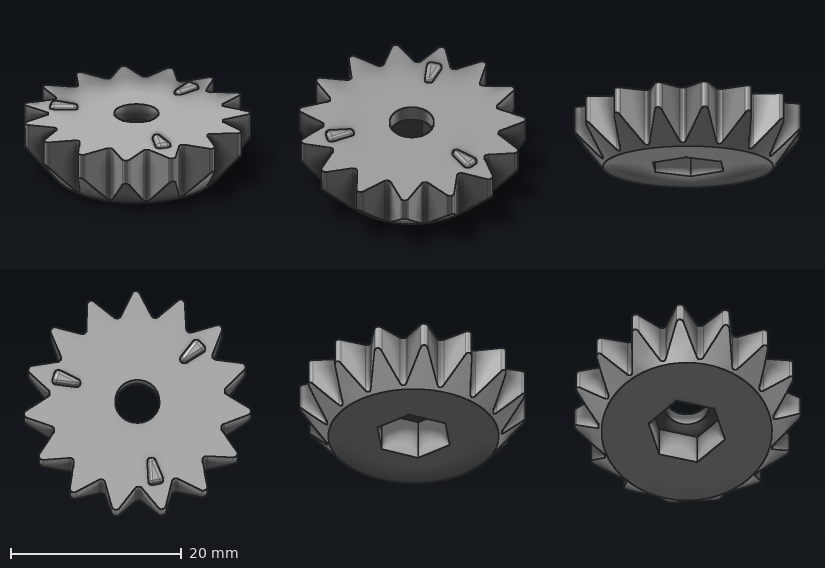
import math

import cadquery as cq

TOOTH_COUNT = 15
TOOTH_PITCH = 360 / TOOTH_COUNT
TIP_RADIUS = 14.0
ROOT_RADIUS = 10.0
TOOTH_ROUNDING = 0.5
WHEEL_HEIGHT = 7.0

CONE_BASE_RADIUS = ROOT_RADIUS
CONE_HALF_ANGLE = 40.0

BORE_DIAMETER = 5.2
HEX_SIDES = 6
HEX_ACROSS_FLATS = 8.0
HEX_DEPTH = 5.0

BUMP_COUNT = 3
BUMP_HEIGHT = 0.5
BUMP_INNER_RADIUS = 7.0
BUMP_OUTER_RADIUS = 10.3
BUMP_INNER_WIDTH = 0.86
BUMP_OUTER_WIDTH = 2.0
BUMP_SINK = 0.5

FIRST_ANGLE = 90.0


def polar(radius, angle):
    return (radius * math.cos(math.radians(angle)), radius * math.sin(math.radians(angle)))


def turn_about_axis(solid, angle):
    return solid.rotate((0, 0, 0), (0, 0, 1), angle)


def make_toothed_prism():
    """Star-shaped prism with every tip and root edge rounded."""
    outline = []
    for tooth in range(TOOTH_COUNT):
        tip_angle = FIRST_ANGLE + tooth * TOOTH_PITCH
        outline.append(polar(TIP_RADIUS, tip_angle))
        outline.append(polar(ROOT_RADIUS, tip_angle + TOOTH_PITCH / 2))
    prism = cq.Workplane("XY").polyline(outline).close().extrude(WHEEL_HEIGHT)
    return prism.edges("|Z").fillet(TOOTH_ROUNDING)


def make_cone_envelope():
    """Solid of revolution: a cone rising from the base, then a cylinder at the tip radius."""
    cone_height = (TIP_RADIUS - CONE_BASE_RADIUS) / math.tan(math.radians(CONE_HALF_ANGLE))
    profile = [
        (0, 0),
        (CONE_BASE_RADIUS, 0),
        (TIP_RADIUS, cone_height),
        (TIP_RADIUS, WHEEL_HEIGHT),
        (0, WHEEL_HEIGHT),
    ]
    return cq.Workplane("XZ").polyline(profile).close().revolve(360, (0, 0), (0, 1))


def make_bore():
    return cq.Workplane("XY").circle(BORE_DIAMETER / 2).extrude(WHEEL_HEIGHT)


def make_hex_pocket():
    """Hexagon with flats facing +X and -X and corners on the Y axis."""
    across_corners = HEX_ACROSS_FLATS / math.cos(math.pi / HEX_SIDES)
    hexagon = cq.Workplane("XY").polygon(HEX_SIDES, across_corners).extrude(HEX_DEPTH)
    return turn_about_axis(hexagon, FIRST_ANGLE)


def make_bump():
    """Wedge along +X, narrow end towards the wheel axis, with side and top edges rounded."""
    outline = [
        (BUMP_INNER_RADIUS, -BUMP_INNER_WIDTH / 2),
        (BUMP_OUTER_RADIUS, -BUMP_OUTER_WIDTH / 2),
        (BUMP_OUTER_RADIUS, BUMP_OUTER_WIDTH / 2),
        (BUMP_INNER_RADIUS, BUMP_INNER_WIDTH / 2),
    ]
    base_plane = cq.Workplane("XY", origin=(0, 0, WHEEL_HEIGHT - BUMP_SINK))
    wedge = base_plane.polyline(outline).close().extrude(BUMP_HEIGHT + BUMP_SINK)
    return wedge.edges("|Z or >Z").fillet(BUMP_HEIGHT)


result = make_toothed_prism().intersect(make_cone_envelope())
result = result.cut(make_bore()).cut(make_hex_pocket())
bump = make_bump()
for index in range(BUMP_COUNT):
    bump_angle = FIRST_ANGLE + index * 360 / BUMP_COUNT
    result = result.union(turn_about_axis(bump, bump_angle))